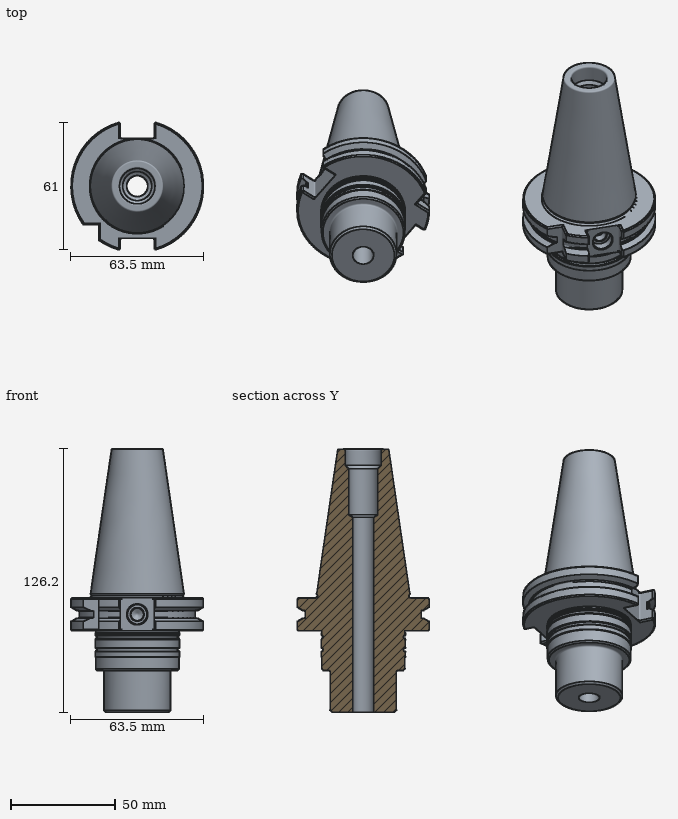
import cadquery as cq
import math

total_height = 126.2
flange_bottom = 39.0
flange_height = 15.9
flange_top = flange_bottom + flange_height
flange_middle = flange_bottom + flange_height / 2

gauge_radius = 44.5 / 2
gauge_height = 58.3
taper_slope = 7 / 24 / 2
taper_top_round = 0.8
neck_radius = 22.0
neck_top = 55.9
taper_bottom = 56.8
neck_fillet = 0.9

flange_radius = 63.5 / 2
flange_chamfer = 0.6
groove_floor_radius = 27.9
groove_floor_width = 3.7
groove_floor_fillet = 0.4
groove_mouth_width = 6.8
groove_flank_angle = 30
groove_flank_depth = (groove_mouth_width - groove_floor_width) / 2 / math.tan(math.radians(groove_flank_angle))
groove_flank_radius = flange_radius - groove_flank_depth

collar_radius = 40.0 / 2
rib_radius = 40.5 / 2
rib_chamfer = rib_radius - collar_radius
collar_bottom = 20.1
collar_chamfer = 0.8
nose_radius = 32.0 / 2
nose_fillet = 0.8
nose_chamfer = 1.0
upper_rib = (37.1, 37.9)
middle_rib = (31.0, 34.8)
lower_rib = (26.8, 29.0)
ring_groove_radius = 0.6
ring_groove_heights = (36.1, 30.0)

through_bore_radius = 10.0 / 2
socket_radius = 17.0 / 2
socket_mouth_fillet = 0.9
socket_depth = 8.0
tapped_bore_radius = 13.9 / 2
tapped_bore_depth = 31.5
drill_point_angle = 118

slot_half_width = 8.1
front_slot_floor = 25.0
back_slot_floor = 22.9
slot_fillet = 0.6
slot_chamfer = 0.8
notch_offset = 18.4
notch_chamfer = 0.8
notch_fillet = 0.4

pocket_mouth_radius = 10.1 / 2
pocket_chamfer = 0.4
pocket_radius = pocket_mouth_radius - pocket_chamfer
pocket_depth = 4.4
pin_hole_mouth_chamfer = 0.3
pin_hole_radius = 6.0 / 2
pin_hole_depth = 9.1


def taper_radius(height):
    """Radius of the steep taper at the given height."""
    return gauge_radius - taper_slope * (height - gauge_height)


def drill_tip(radius):
    """Height of the cone left by a drill of the given radius."""
    return radius / math.tan(math.radians(drill_point_angle / 2))


def ring(profile_points):
    """Solid of revolution about Z from (radius, height) points."""
    return cq.Workplane("XZ").polyline(profile_points).close().revolve(360, (0, 0), (0, 1))


def make_taper():
    return (
        cq.Workplane("XZ")
        .moveTo(0, flange_middle)
        .lineTo(neck_radius + neck_fillet, flange_middle)
        .lineTo(neck_radius + neck_fillet, flange_top)
        .radiusArc((neck_radius, flange_top + neck_fillet), neck_fillet)
        .lineTo(neck_radius, neck_top)
        .lineTo(taper_radius(taper_bottom), taper_bottom)
        .lineTo(taper_radius(total_height), total_height)
        .lineTo(0, total_height)
        .close()
        .revolve(360, (0, 0), (0, 1))
        .faces(">Z")
        .edges()
        .fillet(taper_top_round)
    )


def make_flange():
    disc = (
        cq.Workplane("XY", origin=(0, 0, flange_bottom))
        .circle(flange_radius)
        .extrude(flange_height)
        .edges()
        .chamfer(flange_chamfer)
    )
    half_floor = groove_floor_width / 2
    half_mouth = groove_mouth_width / 2
    v_groove = ring([
        (flange_radius, flange_middle - half_mouth),
        (groove_flank_radius, flange_middle - half_floor),
        (groove_floor_radius, flange_middle - half_floor),
        (groove_floor_radius, flange_middle + half_floor),
        (groove_flank_radius, flange_middle + half_floor),
        (flange_radius, flange_middle + half_mouth),
    ])
    floor_corners = cq.selectors.RadiusNthSelector(0)
    v_groove = v_groove.edges("%CIRCLE").edges(floor_corners).fillet(groove_floor_fillet)
    return disc.cut(v_groove)


def make_collar():
    collar = (
        cq.Workplane("XY", origin=(0, 0, collar_bottom))
        .circle(collar_radius)
        .extrude(flange_middle - collar_bottom)
        .faces("<Z")
        .edges()
        .chamfer(collar_chamfer)
    )
    for rib_bottom, rib_top in (upper_rib, middle_rib, lower_rib):
        rib = (
            cq.Workplane("XY", origin=(0, 0, rib_bottom - rib_chamfer))
            .circle(rib_radius)
            .extrude(rib_top - rib_bottom + 2 * rib_chamfer)
            .edges()
            .chamfer(rib_chamfer)
        )
        collar = collar.union(rib)
    for height in ring_groove_heights:
        collar = collar.cut(cq.Workplane(cq.Solid.makeTorus(
            collar_radius, ring_groove_radius, cq.Vector(0, 0, height), cq.Vector(0, 0, 1)
        )))
    return collar


def make_nose():
    return (
        cq.Workplane("XZ")
        .lineTo(nose_radius - nose_chamfer, 0)
        .lineTo(nose_radius, nose_chamfer)
        .lineTo(nose_radius, collar_bottom - nose_fillet)
        .radiusArc((nose_radius + nose_fillet, collar_bottom), nose_fillet)
        .lineTo(0, collar_bottom)
        .close()
        .revolve(360, (0, 0), (0, 1))
    )


def make_axial_bore():
    socket_floor = total_height - socket_depth
    thread_top = socket_floor - (socket_radius - tapped_bore_radius)
    thread_bottom = total_height - tapped_bore_depth
    thread_tip = drill_tip(tapped_bore_radius) - drill_tip(through_bore_radius)
    return (
        cq.Workplane("XZ")
        .lineTo(through_bore_radius, 0)
        .lineTo(through_bore_radius, thread_bottom - thread_tip)
        .lineTo(tapped_bore_radius, thread_bottom)
        .lineTo(tapped_bore_radius, thread_top)
        .lineTo(socket_radius, socket_floor)
        .lineTo(socket_radius, total_height - socket_mouth_fillet)
        .radiusArc((socket_radius + socket_mouth_fillet, total_height), socket_mouth_fillet)
        .lineTo(0, total_height)
        .close()
        .revolve(360, (0, 0), (0, 1))
    )


def make_slot(floor_offset):
    """Cutter for a drive slot on the +Y side, with rounded floor corners and chamfered mouth edges."""
    slot_length = flange_radius - floor_offset
    cutter = (
        cq.Workplane("XY", origin=(0, floor_offset + slot_length / 2, flange_middle))
        .box(2 * slot_half_width, slot_length, flange_height)
        .edges("|Z and <Y")
        .fillet(slot_fillet)
    )
    mouth_y = math.sqrt(flange_radius**2 - (slot_half_width + slot_chamfer) ** 2)
    flare = (
        cq.Workplane("XY", origin=(0, 0, flange_bottom))
        .moveTo(-slot_half_width, mouth_y - slot_chamfer)
        .lineTo(slot_half_width, mouth_y - slot_chamfer)
        .lineTo(slot_half_width + slot_chamfer, mouth_y)
        .lineTo(slot_half_width + slot_chamfer, flange_radius)
        .lineTo(-slot_half_width - slot_chamfer, flange_radius)
        .lineTo(-slot_half_width - slot_chamfer, mouth_y)
        .close()
        .extrude(flange_height)
    )
    cutter = cutter.union(flare)
    for face_height, inward in ((flange_top, -1), (flange_bottom, 1)):
        bevel_height = face_height + inward * slot_chamfer
        bevel = (
            cq.Workplane("XZ", origin=(0, flange_radius, 0))
            .moveTo(-slot_half_width - slot_chamfer, face_height)
            .lineTo(slot_half_width + slot_chamfer, face_height)
            .lineTo(slot_half_width, bevel_height)
            .lineTo(-slot_half_width, bevel_height)
            .close()
            .extrude(slot_length)
        )
        cutter = cutter.union(bevel)
    return cutter


def make_notch():
    """Corner cutter at -X -Y, wider at the top and bottom faces so that both walls are chamfered."""
    size = flange_radius - notch_offset
    centre = -notch_offset - size / 2
    cutter = (
        cq.Workplane("XY", origin=(centre, centre, flange_middle))
        .box(size, size, flange_height)
        .edges("|Z and >X and >Y")
        .fillet(notch_fillet)
    )
    widened_size = 2 * (size + notch_chamfer)
    for face_height, inward in ((flange_top, -1), (flange_bottom, 1)):
        bevel = (
            cq.Workplane("XY", origin=(-flange_radius, -flange_radius, face_height))
            .rect(widened_size, widened_size)
            .workplane(offset=inward * notch_chamfer)
            .rect(2 * size, 2 * size)
            .loft(ruled=True)
        )
        cutter = cutter.union(bevel)
    return cutter


def make_pin_hole():
    """Stepped blind hole running inward (+Y) from the front slot floor."""
    tip = drill_tip(pin_hole_radius)
    profile = [
        (0, 0),
        (pocket_mouth_radius, 0),
        (pocket_radius, pocket_chamfer),
        (pocket_radius, pocket_depth),
        (pin_hole_radius + pin_hole_mouth_chamfer, pocket_depth),
        (pin_hole_radius, pocket_depth + pin_hole_mouth_chamfer),
        (pin_hole_radius, pin_hole_depth),
        (0, pin_hole_depth + tip),
    ]
    return (
        cq.Workplane("XY")
        .polyline(profile)
        .close()
        .revolve(360, (0, 0), (0, 1))
        .translate((0, -front_slot_floor, flange_middle))
    )


result = make_nose().union(make_collar()).union(make_flange()).union(make_taper())
result = result.cut(make_axial_bore())
result = result.cut(make_slot(back_slot_floor))
result = result.cut(make_slot(front_slot_floor).rotate((0, 0, 0), (0, 0, 1), 180))
result = result.cut(make_notch())
result = result.cut(make_pin_hole())